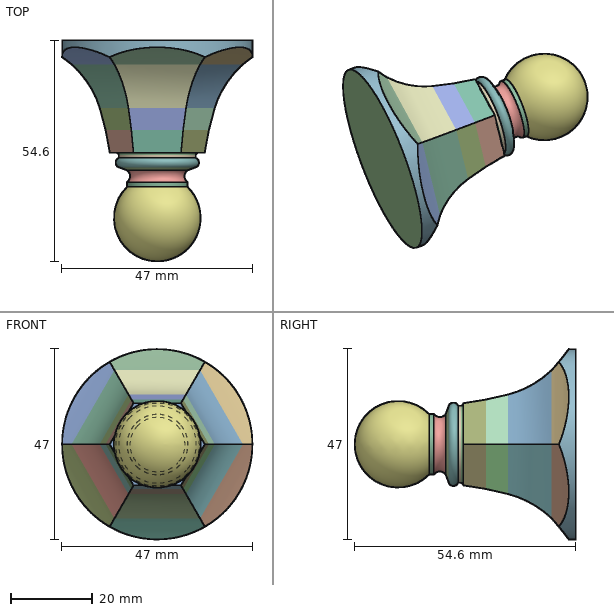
import cadquery as cq
import math

base_diameter = 46.99
base_radius = base_diameter / 2
total_depth = 54.59
hex_sides = 6

flare_edge_depth, flare_edge_apothem = 0.0, 26.1
flare_mid_depth, flare_mid_apothem = 3.0, 21.85
waist_start_depth, waist_start_apothem = 6.0, 18.3
waist_mid_depth, waist_mid_apothem = 11.0, 14.6
waist_end_depth, waist_end_apothem = 16.75, 12.3
taper_break_depth, taper_break_apothem = 22.2, 11.05
foot_depth, foot_apothem = 27.8, 10.15

disc_radius = 9.55
disc_fillet_radius = 0.53
disc_end_depth = 29.05
bead_radius = 10.3
bead_crest_depth = 30.35
bead_end_depth, bead_end_radius = 31.45, 9.3
cove_start_depth, cove_start_radius = 32.15, 7.45
cove_radius = 6.75
cove_floor_depth = 33.6
collar_start_depth = 35.0
collar_radius = 7.5

ball_radius = 10.72
ball_center_depth = total_depth - ball_radius
collar_end_depth = ball_center_depth - math.sqrt(ball_radius**2 - collar_radius**2)


def make_flat_pair():
    """Bar whose top and bottom follow the foot profile, wide enough to span the base."""
    profile = (
        cq.Workplane("YZ")
        .moveTo(0, 0)
        .lineTo(-flare_edge_depth, flare_edge_apothem)
        .threePointArc((-flare_mid_depth, flare_mid_apothem), (-waist_start_depth, waist_start_apothem))
        .threePointArc((-waist_mid_depth, waist_mid_apothem), (-waist_end_depth, waist_end_apothem))
        .lineTo(-taper_break_depth, taper_break_apothem)
        .lineTo(-foot_depth, foot_apothem)
        .lineTo(-foot_depth, 0)
        .close()
    )
    upper_half = profile.extrude(base_diameter, both=True)
    return upper_half.union(upper_half.mirror("XY"))


def make_foot():
    """Round base cylinder cut down by the flats of the hexagonal flare."""
    foot = cq.Workplane("XZ").circle(base_radius).extrude(foot_depth)
    flat_pair = make_flat_pair()
    for index in range(hex_sides // 2):
        angle = index * 360 / hex_sides
        foot = foot.intersect(flat_pair.rotate((0, 0, 0), (0, 1, 0), angle))
    return foot


def make_neck_and_ball():
    """Turned disc, bead, cove, collar and ball as one revolved profile."""
    profile = (
        cq.Workplane("XY")
        .moveTo(0, -foot_depth)
        .lineTo(disc_radius + disc_fillet_radius, -foot_depth)
        .radiusArc((disc_radius, -foot_depth - disc_fillet_radius), -disc_fillet_radius)
        .lineTo(disc_radius, -disc_end_depth)
        .threePointArc((bead_radius, -bead_crest_depth), (bead_end_radius, -bead_end_depth))
        .lineTo(cove_start_radius, -cove_start_depth)
        .threePointArc((cove_radius, -cove_floor_depth), (collar_radius, -collar_start_depth))
        .lineTo(collar_radius, -collar_end_depth)
        .threePointArc((ball_radius, -ball_center_depth), (0, -total_depth))
        .close()
    )
    return profile.revolve(360, (0, 0, 0), (0, 1, 0))


result = make_foot().union(make_neck_and_ball())